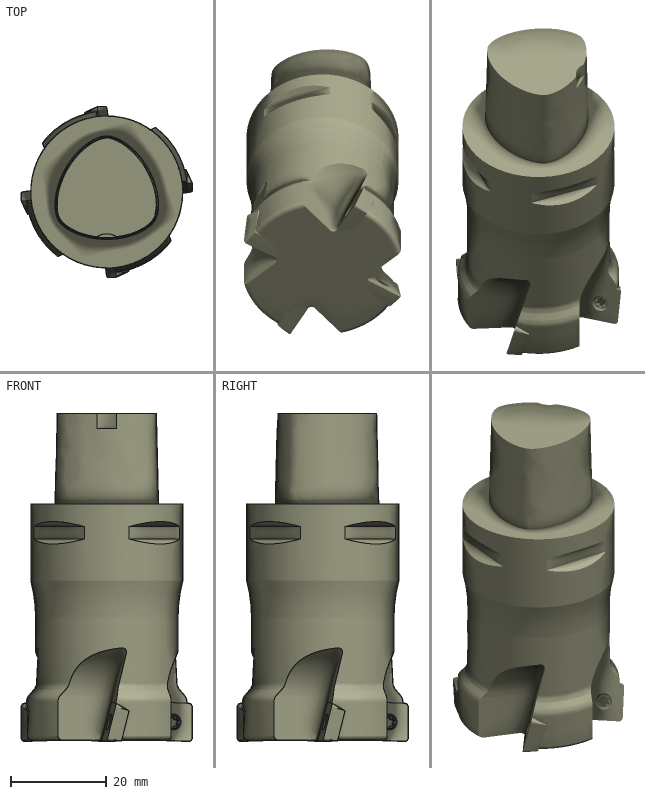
import cadquery as cq
import math


INSERT_COUNT = 4

CUT_RADIUS = 18.0
BODY_BOTTOM = 0.25
HEAD_RADIUS = 17.0
HEAD_EDGE_RADIUS = 1.0
NECK_RADIUS = 15.0
COLLAR_RADIUS = 16.0
COLLAR_TOP = 50.0
COLLAR_BOTTOM = 33.8
NECK_BLEND_BOTTOM = 26.0
SHOULDER_TOP = 12.3
SHOULDER_BLEND_RADIUS = 2.2
SHOULDER_ANGLE = 40.0

SHANK_TOP = 69.0
SHANK_BASE_RADIUS = 10.9
SHANK_TOP_RADIUS = 10.45
SHANK_LOBE = 0.9
SHANK_POINTS = 48

NOTCH_DEPTH = 3.2
NOTCH_RADIUS = 3.5
NOTCH_INNER_Y = -8.8

SLOT_COUNT = 4
SLOT_Z = 43.9
SLOT_FLOOR_RADIUS = 14.15
SLOT_FLOOR_WIDTH = 2.6
SLOT_FLANK_ANGLE = 30.0
SLOT_LENGTH = 24.0

FLUTE_FLOOR_OFFSET = 7.7
FLUTE_FLOOR_ANGLE = 26.0
FLUTE_ARC_RADIUS = 11.0
FLUTE_TOP = 20.5
FLUTE_CORNER_RADIUS = 0.9

INSERT_SIZE = 8.3
INSERT_CORNER_RADIUS = 0.8
INSERT_LAND = 1.4
INSERT_THICKNESS = 3.15
LAND_CLEARANCE = 15.0
BACK_CLEARANCE = 17.0
AXIAL_SLOPE = 0.25
RADIAL_SLOPE = 0.145
INSERT_DROP = 0.027
SEAT_CLEARANCE = 1.5

SCREW_SEAT_DIAMETER = 3.45
SCREW_HEAD_DIAMETER = 2.8
SCREW_SEAT_DEPTH = 0.4
SOCKET_DIAMETER = 2.5
SOCKET_LOBES = 6
SOCKET_LOBE_RADIUS = 0.35
SOCKET_DEPTH = 1.0

REACH = 40.0

RAKE_PLANE = cq.Plane(
    origin=(0, -CUT_RADIUS, -INSERT_DROP),
    xDir=(AXIAL_SLOPE, 0, 1),
    normal=(-1, -RADIAL_SLOPE, AXIAL_SLOPE),
)


def around_axis(shape, count, start=0.0):
    """Copies of a shape spaced evenly about the tool axis."""
    step = 360.0 / count
    return [shape.rotate((0, 0, 0), (0, 0, 1), start + i * step) for i in range(count)]


def make_turned_body():
    angle = math.radians(SHOULDER_ANGLE)
    blend_in = SHOULDER_BLEND_RADIUS * (1 - math.cos(angle))
    blend_down = SHOULDER_BLEND_RADIUS * math.sin(angle)
    half_in = SHOULDER_BLEND_RADIUS * (1 - math.cos(angle / 2))
    half_down = SHOULDER_BLEND_RADIUS * math.sin(angle / 2)
    cone_drop = (HEAD_RADIUS - NECK_RADIUS - 2 * blend_in) / math.tan(angle)
    cone_top = SHOULDER_TOP - blend_down
    cone_bottom = cone_top - cone_drop
    shoulder_bottom = cone_bottom - blend_down

    blend_height = COLLAR_BOTTOM - NECK_BLEND_BOTTOM
    blend_width = COLLAR_RADIUS - NECK_RADIUS
    profile = (
        cq.Workplane("XZ")
        .moveTo(0, BODY_BOTTOM)
        .lineTo(HEAD_RADIUS, BODY_BOTTOM)
        .lineTo(HEAD_RADIUS, shoulder_bottom)
        .threePointArc(
            (HEAD_RADIUS - half_in, shoulder_bottom + half_down),
            (HEAD_RADIUS - blend_in, cone_bottom),
        )
        .lineTo(NECK_RADIUS + blend_in, cone_top)
        .threePointArc(
            (NECK_RADIUS + half_in, SHOULDER_TOP - half_down),
            (NECK_RADIUS, SHOULDER_TOP),
        )
        .lineTo(NECK_RADIUS, NECK_BLEND_BOTTOM)
        .tangentArcPoint((blend_width, blend_height))
        .lineTo(COLLAR_RADIUS, COLLAR_TOP)
        .lineTo(0, COLLAR_TOP)
        .close()
    )
    turned = profile.revolve(360, (0, 0, 0), (0, 1, 0))
    return turned.faces("<Z").edges().fillet(HEAD_EDGE_RADIUS)


def lobe_point(radius, turn):
    """Point on a three-lobed curve of constant width with one lobe toward +Y."""
    lobe_angle = 3 * (turn - math.pi / 2)
    reach = radius + SHANK_LOBE * math.cos(lobe_angle)
    slide = -3 * SHANK_LOBE * math.sin(lobe_angle)
    return (
        reach * math.cos(turn) - slide * math.sin(turn),
        reach * math.sin(turn) + slide * math.cos(turn),
    )


def lobe_points(radius):
    step = 2 * math.pi / SHANK_POINTS
    return [lobe_point(radius, i * step) for i in range(SHANK_POINTS)]


def make_shank():
    return (
        cq.Workplane("XY", origin=(0, 0, COLLAR_TOP))
        .spline(lobe_points(SHANK_BASE_RADIUS), periodic=True)
        .close()
        .workplane(offset=SHANK_TOP - COLLAR_TOP)
        .spline(lobe_points(SHANK_TOP_RADIUS), periodic=True)
        .close()
        .loft(ruled=True)
    )


def make_notch():
    return (
        cq.Workplane("XY", origin=(0, 0, SHANK_TOP - NOTCH_DEPTH))
        .center(0, NOTCH_INNER_Y - NOTCH_RADIUS)
        .circle(NOTCH_RADIUS)
        .extrude(NOTCH_DEPTH)
    )


def make_gripper_slot():
    """Trapezoidal slot on the +X side, widening outward."""
    depth = CUT_RADIUS - SLOT_FLOOR_RADIUS
    half_floor = SLOT_FLOOR_WIDTH / 2
    half_mouth = half_floor + depth * math.tan(math.radians(SLOT_FLANK_ANGLE))
    return (
        cq.Workplane("XZ", origin=(0, 0, SLOT_Z))
        .polyline([
            (SLOT_FLOOR_RADIUS, -half_floor),
            (CUT_RADIUS, -half_mouth),
            (CUT_RADIUS, half_mouth),
            (SLOT_FLOOR_RADIUS, half_floor),
        ])
        .close()
        .extrude(SLOT_LENGTH / 2, both=True)
    )


def make_flute():
    """Flute of the -Y insert: a flat floor that arcs outward, ended by the rake plane."""
    angle = math.radians(FLUTE_FLOOR_ANGLE)
    out_of_floor = (math.sin(angle), -math.cos(angle), 0)
    back_along_floor = (-math.cos(angle), -math.sin(angle), 0)
    section = cq.Plane(origin=(0, 0, 0), xDir=out_of_floor, normal=back_along_floor)

    arc_start_z = FLUTE_TOP - FLUTE_ARC_RADIUS
    arc_mid = FLUTE_ARC_RADIUS * math.sin(math.radians(45))
    arc_centre_offset = FLUTE_FLOOR_OFFSET + FLUTE_ARC_RADIUS
    channel = (
        cq.Workplane(section)
        .moveTo(FLUTE_FLOOR_OFFSET, -REACH)
        .lineTo(FLUTE_FLOOR_OFFSET, arc_start_z)
        .threePointArc(
            (arc_centre_offset - arc_mid, arc_start_z + arc_mid),
            (arc_centre_offset, FLUTE_TOP),
        )
        .lineTo(REACH, FLUTE_TOP)
        .lineTo(REACH, -REACH)
        .close()
        .extrude(REACH, both=True)
    )
    open_side = cq.Workplane(RAKE_PLANE).rect(4 * REACH, 4 * REACH).extrude(2 * REACH)
    flute = channel.intersect(open_side)
    return flute.edges("%ELLIPSE").fillet(FLUTE_CORNER_RADIUS)


def make_insert_blank():
    """Insert of the -Y seat without its screw, narrowing away from the rake face."""
    back_depth = INSERT_THICKNESS - INSERT_LAND
    land_inset = INSERT_LAND * math.tan(math.radians(LAND_CLEARANCE))
    back_size = INSERT_SIZE - 2 * land_inset
    back_corner = INSERT_CORNER_RADIUS - land_inset
    half = INSERT_SIZE / 2

    def slab(size, corner, depth, height, taper):
        outline = cq.Sketch().rect(size, size).vertices().fillet(corner)
        return (
            cq.Workplane(RAKE_PLANE)
            .center(half, half)
            .workplane(offset=-depth)
            .placeSketch(outline)
            .extrude(-height, taper=taper)
        )

    land = slab(INSERT_SIZE, INSERT_CORNER_RADIUS, 0, INSERT_LAND, LAND_CLEARANCE)
    back = slab(back_size, back_corner, INSERT_LAND, back_depth, BACK_CLEARANCE)
    return land.union(back)


def make_seat_clearance():
    """Room in front of the rake face, square to it, so that the flute corner leaves it free."""
    half = INSERT_SIZE / 2
    return (
        cq.Workplane(RAKE_PLANE)
        .center(half, half)
        .rect(INSERT_SIZE, INSERT_SIZE)
        .extrude(SEAT_CLEARANCE)
    )


def make_insert(blank):
    """Insert with its fixing screw: a conical seat and a lobed socket in the screw head."""
    centre = INSERT_SIZE / 2
    face = cq.Workplane(RAKE_PLANE).center(centre, centre)
    seat = (
        face.circle(SCREW_SEAT_DIAMETER / 2)
        .workplane(offset=-SCREW_SEAT_DEPTH)
        .circle(SCREW_HEAD_DIAMETER / 2)
        .loft(ruled=True)
    )
    lobe_circle = SOCKET_DIAMETER / 2 - SOCKET_LOBE_RADIUS
    socket_floor = face.workplane(offset=-SCREW_SEAT_DEPTH - SOCKET_DEPTH)
    socket = socket_floor.circle(lobe_circle).extrude(SOCKET_DEPTH)
    lobes = (
        socket_floor.polarArray(lobe_circle, 0, 360, SOCKET_LOBES)
        .circle(SOCKET_LOBE_RADIUS)
        .extrude(SOCKET_DEPTH)
    )
    return blank.cut(seat).cut(socket.union(lobes))


def make_holder(blank):
    holder = make_turned_body().union(make_shank()).cut(make_notch())
    slots = around_axis(make_gripper_slot(), SLOT_COUNT, start=180.0 / SLOT_COUNT)
    flutes = around_axis(make_flute(), INSERT_COUNT)
    seats = around_axis(blank, INSERT_COUNT)
    clearances = around_axis(make_seat_clearance(), INSERT_COUNT)
    for cutter in slots + flutes + seats + clearances:
        holder = holder.cut(cutter)
    return holder


insert_blank = make_insert_blank()
holder = make_holder(insert_blank)
inserts = around_axis(make_insert(insert_blank), INSERT_COUNT)

result = cq.Compound.makeCompound([holder.val(), *[insert.val() for insert in inserts]])